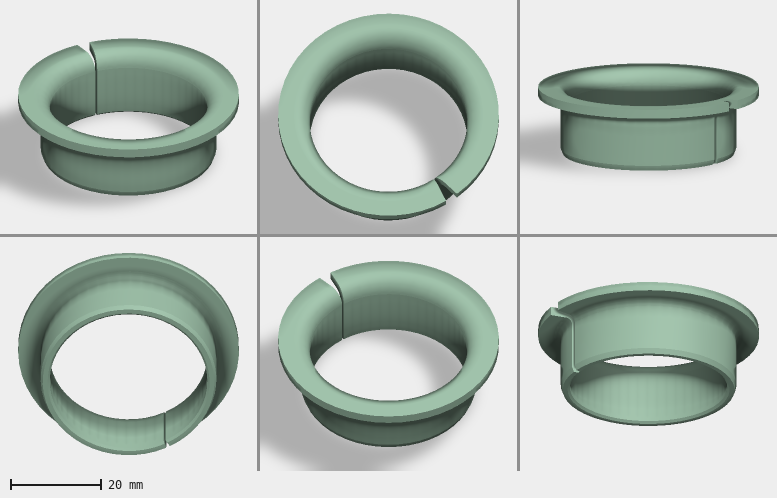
import cadquery as cq
import math

flange_diameter = 49.0
height = 15.0
flange_thickness = 2.0
sleeve_diameter = 39.0
wall_thickness = 2.0
outer_fillet = 1.45
chamfer_height = 1.2
chamfer_width = 0.45
bore_chamfer = 0.5
split_half_angle = 10.0
split_bore_gap = 0.5

flange_radius = flange_diameter / 2
sleeve_radius = sleeve_diameter / 2
bore_radius = sleeve_radius - wall_thickness
lip_radius = outer_fillet + wall_thickness
flange_underside = height - flange_thickness
split_slope = math.tan(math.radians(split_half_angle))


def make_flanged_sleeve():
    """Revolve the wall section, in radius and height, about the Z axis."""
    arc_center_radius = sleeve_radius + outer_fillet
    arc_center_height = flange_underside - outer_fillet
    diagonal = math.sqrt(0.5)

    def arc_middle(radius):
        return (arc_center_radius - radius * diagonal, arc_center_height + radius * diagonal)

    section = (
        cq.Workplane("XZ")
        .moveTo(bore_radius, bore_chamfer)
        .lineTo(bore_radius + bore_chamfer, 0)
        .lineTo(sleeve_radius - chamfer_width, 0)
        .lineTo(sleeve_radius, chamfer_height)
        .lineTo(sleeve_radius, arc_center_height)
        .threePointArc(arc_middle(outer_fillet), (arc_center_radius, flange_underside))
        .lineTo(flange_radius, flange_underside)
        .lineTo(flange_radius, height)
        .lineTo(arc_center_radius, height)
        .threePointArc(arc_middle(lip_radius), (bore_radius, arc_center_height))
        .close()
    )
    ring = section.revolve(360, (0, 0, 0), (0, 1, 0))
    return ring.rotate((0, 0, 0), (0, 0, 1), 180)


def make_split():
    """Wedge that opens the ring at -X and widens outwards."""
    wedge_tip = -bore_radius + split_bore_gap / 2 / split_slope
    wedge_end = -flange_diameter
    end_half_width = (wedge_tip - wedge_end) * split_slope
    return (
        cq.Workplane("XY")
        .moveTo(wedge_tip, 0)
        .lineTo(wedge_end, end_half_width)
        .lineTo(wedge_end, -end_half_width)
        .close()
        .extrude(height)
    )


result = make_flanged_sleeve().cut(make_split())